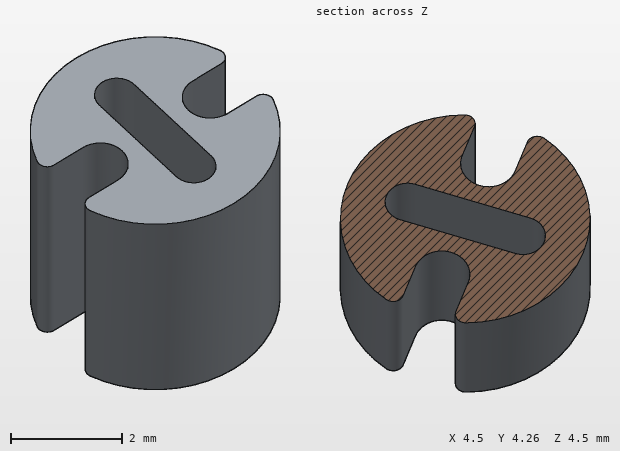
import cadquery as cq

body_diameter = 4.5
body_height = 4.5
notch_width = 1.0
notch_floor_offset = 0.77
notch_lip_radius = 0.195
slot_length = 3.0
slot_width = 0.8

body_radius = body_diameter / 2
notch_radius = notch_width / 2
notch_arc_center = notch_floor_offset + notch_radius


def make_body():
    """Solid cylinder standing on the XY plane."""
    return cq.Workplane("XY").circle(body_radius).extrude(body_height)


def make_notch(side):
    """Full-height cutter for the notch on the +Y (side=1) or -Y (side=-1) side."""
    outer_y = side * body_diameter
    arc_y = side * notch_arc_center
    return (
        cq.Workplane("XY")
        .moveTo(-notch_radius, outer_y)
        .lineTo(-notch_radius, arc_y)
        .threePointArc((0, side * notch_floor_offset), (notch_radius, arc_y))
        .lineTo(notch_radius, outer_y)
        .close()
        .extrude(body_height)
    )


def round_notch_lips(body):
    """Fillet the four vertical edges where the notch walls meet the cylinder."""
    lip_zone_start = (notch_arc_center + body_radius) / 2
    for side in (1, -1):
        lip_zone = cq.selectors.BoxSelector(
            (-notch_width, side * lip_zone_start, 0),
            (notch_width, side * body_diameter, body_height),
        )
        body = body.edges("|Z").edges(lip_zone).fillet(notch_lip_radius)
    return body


def make_slot():
    """Full-height cutter for the central slot with rounded ends."""
    return cq.Workplane("XY").slot2D(slot_length, slot_width).extrude(body_height)


notched_body = make_body()
for notch_side in (1, -1):
    notched_body = notched_body.cut(make_notch(notch_side))

result = round_notch_lips(notched_body).cut(make_slot())